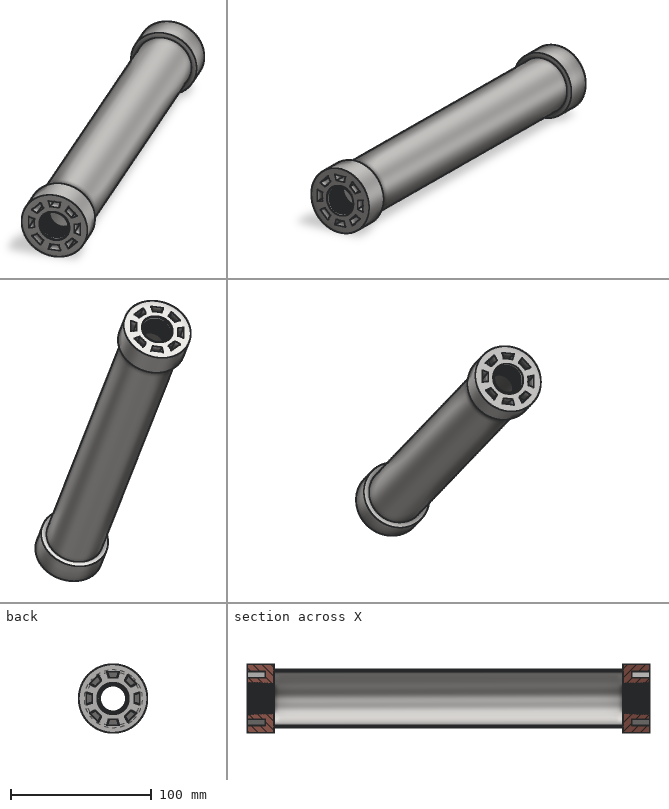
import cadquery as cq
import math

overall_length = 285.75
tube_outer_diameter = 41.27
tube_inner_diameter = 38.23

cap_diameter = 48.85
cap_length = 19.05
port_diameter = 18.26

pocket_count = 8
pocket_inner_radius = 14.9
pocket_outer_radius = tube_inner_diameter / 2
pocket_inner_width = 6.6
pocket_outer_width = 9.0
pocket_depth = 12.7

pocket_side_lean = 0.6

thread_pitch = 25.4 / 14
thread_taper = 1 / 32
thread_height = 1.5
thread_mouth_width = 0.92 * thread_pitch
thread_crest_overlap = 0.1
thread_overrun = 1.2
countersink_diameter = 22.6

tube_length = overall_length - 2 * cap_length


def make_tube():
    """Plain tube held between the two caps."""
    return (
        cq.Workplane("XZ", origin=(0, tube_length / 2, 0))
        .circle(tube_outer_diameter / 2)
        .circle(tube_inner_diameter / 2)
        .extrude(tube_length)
    )


def make_pockets():
    """Ring of pockets around the port, cut down from the cap's outer face at Z = 0."""
    return (
        cq.Workplane("XY")
        .polarArray(0, 0, 360, pocket_count)
        .eachpoint(pocket_cutter, combine=False)
    )


def pocket_outline(side_inset):
    """Symmetric trapezoid, widest at its outer edge, with each side moved in by the inset."""
    inner_half_width = pocket_inner_width / 2 - side_inset
    outer_half_width = pocket_outer_width / 2 - side_inset
    return [
        (pocket_inner_radius, -inner_half_width),
        (pocket_outer_radius, -outer_half_width),
        (pocket_outer_radius, outer_half_width),
        (pocket_inner_radius, inner_half_width),
    ]


def pocket_cutter(location):
    """One pocket, its two sides leaning in towards the floor."""
    pocket = (
        cq.Workplane("XY")
        .polyline(pocket_outline(0))
        .close()
        .workplane(offset=-pocket_depth)
        .polyline(pocket_outline(pocket_side_lean))
        .close()
        .loft(ruled=True)
    )
    return pocket.val().moved(location)


def make_port():
    """Tapered bore through the cap, widening to a countersink at the outer face."""
    inner_radius = port_diameter / 2
    outer_radius = inner_radius + cap_length * thread_taper
    countersink_radius = countersink_diameter / 2
    countersink_depth = countersink_radius - outer_radius
    half_section = [
        (0, -cap_length),
        (inner_radius, -cap_length),
        (outer_radius - countersink_depth * thread_taper, -countersink_depth),
        (countersink_radius, 0),
        (0, 0),
    ]
    return cq.Workplane("XZ").polyline(half_section).close().revolve(360, (0, 0, 0), (0, 1, 0))


def make_thread():
    """Helical V groove that follows the taper of the port and runs past both ends."""
    start = -cap_length - thread_overrun
    start_radius = port_diameter / 2 - thread_overrun * thread_taper
    helix = cq.Wire.makeHelix(
        thread_pitch,
        cap_length + 2 * thread_overrun,
        start_radius,
        center=cq.Vector(0, 0, start),
        angle=math.degrees(math.atan(thread_taper)),
    )
    crest_radius = start_radius - thread_crest_overlap
    root_radius = start_radius + thread_height
    groove = [
        (crest_radius, start - thread_mouth_width / 2),
        (root_radius, start),
        (crest_radius, start + thread_mouth_width / 2),
    ]
    return cq.Workplane("XZ").polyline(groove).close().sweep(cq.Workplane(helix), isFrenet=True)


def make_cap():
    """Cap with its outer face on Z = 0 and its body below."""
    return (
        cq.Workplane("XY")
        .circle(cap_diameter / 2)
        .extrude(-cap_length)
        .cut(make_port())
        .cut(make_pockets())
        .cut(make_thread())
    )


tube = make_tube()
cap_in_place = make_cap().translate((0, 0, overall_length / 2))
caps = []
for turn in (90, -90):
    cap = cap_in_place.rotate((0, 0, 0), (1, 0, 0), turn)
    caps.append(cap.val())

result = cq.Compound.makeCompound([tube.val(), *caps])